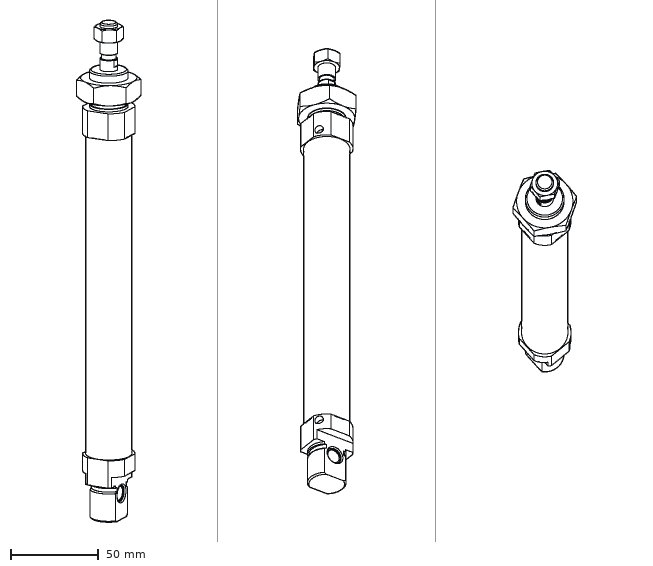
import cadquery as cq
import math

overall_height = 294.0
rod_nut_top = 291.5
rod_nut_height = 8.0
thread_start = 275.7
rod_shoulder = 272.7
head_top = 266.0
lock_nut_top = 261.0
lock_nut_height = 12.0
head_collar_top = 244.0
head_collar_bottom = 228.0
foot_collar_top = 38.0
foot_cut_top = 28.0
foot_collar_bottom = 21.7

tube_diameter = 26.5
collar_diameter = 30.0
collar_across_flats = 27.0
neck_diameter = 22.0
groove_diameter = 20.3
groove_land = 1.5
groove_width = 2.4
neck_chamfer = 1.0
eye_thickness = 16.5
pivot_diameter = 8.0
pivot_height = 15.3
pivot_recess_diameter = 9.5
pivot_recess_depth = 1.5
pivot_chamfer = 0.73
screw_hole_diameter = 5.0
screw_hole_depth = 4.5
screw_hole_angle = 128.0
head_screw_height = 232.2
foot_screw_height = 34.5

rod_diameter = 10.0
rod_groove_diameter = 8.5
rod_tip_chamfer = 1.0
rod_shoulder_chamfer = 0.3
rod_across_flats = 9.0
rod_flat_top = 272.2
rod_flat_bottom = 268.3
rod_end = head_collar_bottom

rod_nut_across_flats = 14.7
lock_nut_across_flats = 32.0
nut_chamfer_angle = 30.0
nut_turn = 30.0


def cylinder(diameter, bottom, top):
    return cq.Workplane("XY").workplane(offset=bottom).circle(diameter / 2).extrude(top - bottom)


def block(side_x, side_y, bottom, top):
    return cq.Workplane("XY").workplane(offset=bottom).rect(side_x, side_y).extrude(top - bottom)


def revolved(points):
    """Solid of revolution about Z from (radius, height) points."""
    return cq.Workplane("XZ").polyline(points).close().revolve(360, (0, 0), (0, 1))


def collar(bottom, top):
    """Round collar with four wrench flats."""
    flats = block(collar_across_flats, collar_across_flats, bottom, top)
    return cylinder(collar_diameter, bottom, top).intersect(flats)


def neck(collar_face, end, direction):
    """Round neck leaving a collar upwards (+1) or downwards (-1), with a relief groove."""
    radius = neck_diameter / 2
    groove_radius = groove_diameter / 2
    groove_depth = radius - groove_radius
    groove_start = collar_face + direction * groove_land
    groove_end = groove_start + direction * groove_width
    return revolved([
        (0, collar_face),
        (radius, collar_face),
        (radius, groove_start),
        (groove_radius, groove_start),
        (groove_radius, groove_end),
        (radius, groove_end + direction * groove_depth),
        (radius, end - direction * neck_chamfer),
        (radius - neck_chamfer, end),
        (0, end),
    ])


def pivot_hole():
    """Cross hole through the eye along X, recessed and chamfered at both flats."""
    half = eye_thickness / 2
    radius = pivot_diameter / 2
    recess_radius = pivot_recess_diameter / 2
    recess_floor = half - pivot_recess_depth
    chamfer_start = half - pivot_chamfer
    hole = cq.Workplane("XY").polyline([
        (-half, 0),
        (-half, recess_radius + pivot_chamfer),
        (-chamfer_start, recess_radius),
        (-recess_floor, recess_radius),
        (-recess_floor, radius),
        (recess_floor, radius),
        (recess_floor, recess_radius),
        (chamfer_start, recess_radius),
        (half, recess_radius + pivot_chamfer),
        (half, 0),
    ]).close().revolve(360, (0, 0), (1, 0))
    return hole.translate((0, 0, pivot_height))


def screw_hole(height):
    """Blind radial hole in a rounded corner of a collar."""
    angle = math.radians(screw_hole_angle)
    outward = cq.Vector(math.cos(angle), math.sin(angle), 0)
    floor = outward * (collar_diameter / 2 - screw_hole_depth) + cq.Vector(0, 0, height)
    drill = cq.Solid.makeCylinder(screw_hole_diameter / 2, 2 * screw_hole_depth, floor, outward)
    return cq.Workplane(drill)


def make_housing():
    foot = collar(foot_collar_bottom, foot_collar_top).union(neck(foot_collar_bottom, 0, -1))
    foot_slab = block(eye_thickness, collar_diameter, 0, foot_cut_top)
    foot_upper = block(collar_diameter, collar_diameter, foot_cut_top, foot_collar_top)
    foot = foot.intersect(foot_slab.union(foot_upper)).cut(pivot_hole())
    tube = cylinder(tube_diameter, foot_collar_top, head_collar_bottom)
    head = collar(head_collar_bottom, head_collar_top).union(neck(head_collar_top, head_top, 1))
    housing = foot.union(tube).union(head)
    for height in (head_screw_height, foot_screw_height):
        housing = housing.cut(screw_hole(height))
    return housing.cut(cylinder(rod_diameter, rod_end, head_top))


def make_rod():
    rod = cylinder(rod_diameter, rod_end, rod_shoulder).faces(">Z").chamfer(rod_shoulder_chamfer)
    flats = block(rod_across_flats, rod_diameter, rod_flat_bottom, rod_flat_top)
    rod = rod.cut(cylinder(rod_diameter, rod_flat_bottom, rod_flat_top).cut(flats))
    groove = cylinder(rod_groove_diameter, rod_shoulder, thread_start)
    tip = cylinder(rod_diameter, thread_start, overall_height).faces(">Z").chamfer(rod_tip_chamfer)
    return rod.union(groove).union(tip)


def make_nut(across_flats, bore, bottom, height):
    """Hexagon nut with two flats facing +X and -X and conical chamfers at both ends."""
    corner_radius = across_flats / math.sqrt(3)
    flat_radius = across_flats / 2
    chamfer_drop = (corner_radius - flat_radius) * math.tan(math.radians(nut_chamfer_angle))
    top = bottom + height
    hexagon = (
        cq.Workplane("XY").workplane(offset=bottom)
        .transformed(rotate=(0, 0, nut_turn))
        .polygon(6, 2 * corner_radius)
        .extrude(height)
    )
    envelope = revolved([
        (0, bottom),
        (flat_radius, bottom),
        (corner_radius, bottom + chamfer_drop),
        (corner_radius, top - chamfer_drop),
        (flat_radius, top),
        (0, top),
    ])
    return hexagon.intersect(envelope).cut(cylinder(bore, bottom, top))


housing = make_housing()
rod = make_rod()
rod_nut = make_nut(rod_nut_across_flats, rod_diameter, rod_nut_top - rod_nut_height, rod_nut_height)
lock_nut = make_nut(lock_nut_across_flats, neck_diameter, lock_nut_top - lock_nut_height, lock_nut_height)

result = cq.Compound.makeCompound([housing.val(), rod.val(), rod_nut.val(), lock_nut.val()])